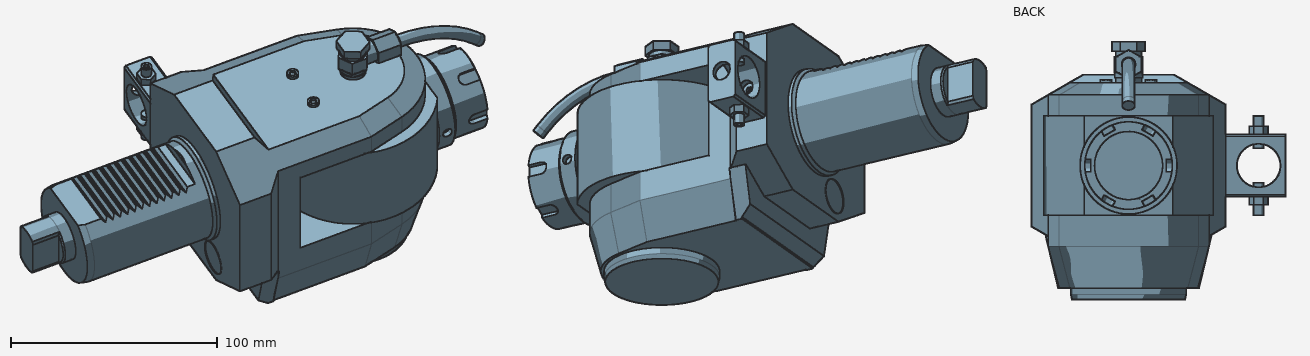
import cadquery as cq
import math


FLANGE_HALF_WIDTH = 47.0
FLANGE_HALF_HEIGHT = 44.0
FLANGE_FLAT_HALF = 22.0
FLANGE_SLOPE = math.radians(30)
FLANGE_DEPTH = 25.0
PLUG_X, PLUG_Z, PLUG_RADIUS, PLUG_RECESS = 18.5, -31.7, 8.6, 0.5

HOUSING_HALF_WIDTH = 39.0
DECK_Z = 40.0
HEAD_Y = 86.2
NOSE_RADIUS = 35.0
NOSE_SIDE_ANGLE = math.radians(15)
LOWER_TAPER_TOP = -39.0
LOWER_TAPER_BOTTOM = -59.3
LOWER_TAPER = 15.0
SKIRT_TAPER = 13.5
SKIRT_REAR = 16.0
SKIRT_CHAMFER = 6.0
SKIRT_TOP = -34.0
WINDOW_HALF_HEIGHT = 24.0
WINDOW_REAR = 37.2
DRUM_RADIUS = 41.0
FACE_Y = HEAD_Y + NOSE_RADIUS
CAP_RADIUS, CAP_RIM_RADIUS = 28.0, 27.4
CAP_BOTTOM = -64.9
CAP_LAND = 3.1
DECK_SCREW_X, DECK_SCREW_Y = 10.85, 58.9
DECK_SCREW_RADIUS, DECK_SCREW_HEIGHT = 2.8, 1.5
DECK_SOCKET_AF, DECK_SOCKET_DEPTH = 3.0, 1.2

RING_RADIUS, RING_END = 23.5, 129.7
NECK_RADIUS, NECK_END = 20.3, 131.6
NUT_RADIUS, NUT_SHOULDER, NUT_END = 21.2, 148.8, 150.4
NUT_FACE_RADIUS = 16.5
NUT_SLOTS = 6
NUT_SLOT_WIDTH = 6.2
NUT_SLOT_START = 138.6
NUT_SLOT_FLOOR = 18.3
RING_HOLE_Y, RING_HOLE_RADIUS, RING_HOLE_DEPTH = 125.6, 2.4, 3.0

COLLAR_RADIUS, COLLAR_LENGTH = 26.5, 1.9
COLLAR_TAPER_END = -3.4
SHANK_RADIUS, SHANK_END = 25.0, -71.5
SHANK_CHAMFER_LENGTH, SHANK_CHAMFER = 3.4, 0.7
FLAT_Z, FLAT_START = 19.7, -8.1
FLAT_EDGE_CHAMFER = 0.7
GROOVES, GROOVE_PITCH, FIRST_GROOVE_Y = 12, 4.0, -13.9
GROOVE_DEPTH, GROOVE_HALF_WIDTH = 1.6, 1.6
STUB_RADIUS, STUB_END, STUB_CHAMFER = 12.2, -78.0, 0.8
TANG_HALF_WIDTH, TANG_END = 6.6, -92.0
TANG_FLAT_HALF_HEIGHT = 9.0
TANG_ROUND_HALF_WIDTH = 6.0

BRACKET_LEFT = -76.0
BRACKET_HALF_HEIGHT = 15.2
BRACKET_REAR, BRACKET_FRONT = 0.8, 16.0
BRACKET_CHAMFER = 1.0
BORE_X, BORE_RADIUS = -63.0, 10.5
ACCESS_Y, ACCESS_RADIUS = 8.4, 4.7
SEAT_RADIUS, SEAT_DEPTH = 3.7, 3.0
SEAT_SOCKET_AF, SEAT_SOCKET_DEPTH = 3.0, 2.0
STUD_Y, STUD_RADIUS = 6.2, 2.5
STUD_INNER, STUD_OUTER = 8.3, 24.1
STUD_NUT_AF, STUD_NUT_HEIGHT = 8.0, 3.9
STUD_SOCKET_AF, STUD_SOCKET_DEPTH = 2.5, 2.0

BOLT_TOP, BOLT_HEAD_HEIGHT, BOLT_HEAD_AF = 60.0, 4.7, 14.0
BOLT_NECK_RADIUS = 6.3
BANJO_COLLAR_RADIUS, BANJO_COLLAR_BOTTOM = 6.8, 42.4
BANJO_BOTTOM, BANJO_TOP, BANJO_AF = 45.0, 52.7, 13.8
HOSE_Z = 49.0
OUTLET_RADIUS = 5.4
HOSE_NUT_START, HOSE_NUT_END, HOSE_NUT_AF = 97.0, 109.3, 12.2
HOSE_RADIUS = 3.1
HOSE_COLLAR_RADIUS, HOSE_COLLAR_LENGTH = 3.4, 1.4
HOSE_BEND = math.radians(45)
HOSE_BEND_RADIUS = 60.0
HOSE_TIP_Y = 157.67


def hexagon(plane, across_flats, length):
    """Hexagonal prism with two corners on the local x axis of the plane."""
    corner_diameter = across_flats / math.cos(math.radians(30))
    return cq.Workplane(plane).polygon(6, corner_diameter).extrude(length)


def y_cylinder(radius, y_from, y_to, x=0.0, z=0.0):
    plane = cq.Plane((x, y_from, z), xDir=(1, 0, 0), normal=(0, 1, 0))
    return cq.Workplane(plane).circle(radius).extrude(y_to - y_from)


def z_cylinder(radius, x, y, z_from, z_to):
    return cq.Workplane("XY", origin=(x, y, z_from)).circle(radius).extrude(z_to - z_from)


def x_cylinder(radius, x_from, x_to, y, z=0.0):
    return cq.Workplane("YZ", origin=(x_from, y, z)).circle(radius).extrude(x_to - x_from)


def flange_plate():
    slope_height = (FLANGE_HALF_WIDTH - FLANGE_FLAT_HALF) * math.tan(FLANGE_SLOPE)
    corner_z = FLANGE_HALF_HEIGHT - slope_height
    octagon = [
        (FLANGE_FLAT_HALF, FLANGE_HALF_HEIGHT), (FLANGE_HALF_WIDTH, corner_z),
        (FLANGE_HALF_WIDTH, -corner_z), (FLANGE_FLAT_HALF, -FLANGE_HALF_HEIGHT),
        (-FLANGE_FLAT_HALF, -FLANGE_HALF_HEIGHT), (-FLANGE_HALF_WIDTH, -corner_z),
        (-FLANGE_HALF_WIDTH, corner_z), (-FLANGE_FLAT_HALF, FLANGE_HALF_HEIGHT),
    ]
    plate = cq.Workplane("XZ").polyline(octagon).close().extrude(-FLANGE_DEPTH)

    side_bevel = FLANGE_HALF_WIDTH - HOUSING_HALF_WIDTH
    plan = [
        (-FLANGE_HALF_WIDTH, 0), (FLANGE_HALF_WIDTH, 0),
        (FLANGE_HALF_WIDTH, FLANGE_DEPTH - side_bevel), (HOUSING_HALF_WIDTH, FLANGE_DEPTH),
        (-HOUSING_HALF_WIDTH, FLANGE_DEPTH), (-FLANGE_HALF_WIDTH, FLANGE_DEPTH - side_bevel),
    ]
    plan_prism = cq.Workplane("XY").polyline(plan).close().extrude(FLANGE_HALF_HEIGHT, both=True)
    top_bevel = FLANGE_HALF_HEIGHT - DECK_Z
    profile = [
        (0, -FLANGE_HALF_HEIGHT), (FLANGE_DEPTH, -FLANGE_HALF_HEIGHT), (FLANGE_DEPTH, DECK_Z),
        (FLANGE_DEPTH - top_bevel, FLANGE_HALF_HEIGHT), (0, FLANGE_HALF_HEIGHT),
    ]
    profile_prism = cq.Workplane("YZ").polyline(profile).close().extrude(FLANGE_HALF_WIDTH, both=True)
    plug = y_cylinder(PLUG_RADIUS, 0, PLUG_RECESS, PLUG_X, PLUG_Z)
    return plate.intersect(plan_prism).intersect(profile_prism).cut(plug)


def housing_outline(z, rear_y):
    """Plan outline: parallel sides, converging flanks and a round nose tangent to them."""
    tangent_x = NOSE_RADIUS * math.cos(NOSE_SIDE_ANGLE)
    tangent_y = HEAD_Y + NOSE_RADIUS * math.sin(NOSE_SIDE_ANGLE)
    side_end_y = tangent_y - (HOUSING_HALF_WIDTH - tangent_x) / math.tan(NOSE_SIDE_ANGLE)
    return (
        cq.Workplane("XY", origin=(0, 0, z))
        .moveTo(-HOUSING_HALF_WIDTH, rear_y)
        .lineTo(HOUSING_HALF_WIDTH, rear_y)
        .lineTo(HOUSING_HALF_WIDTH, side_end_y)
        .lineTo(tangent_x, tangent_y)
        .threePointArc((0, HEAD_Y + NOSE_RADIUS), (-tangent_x, tangent_y))
        .lineTo(-HOUSING_HALF_WIDTH, side_end_y)
        .close()
    )


def skirt():
    """Tapered block under the flange, bevelled along its rear bottom edge."""
    slope = math.tan(math.radians(SKIRT_TAPER))
    top_half = HOUSING_HALF_WIDTH + (SKIRT_TOP - LOWER_TAPER_TOP) * slope
    bottom_half = HOUSING_HALF_WIDTH - (LOWER_TAPER_TOP - LOWER_TAPER_BOTTOM) * slope
    section = [
        (-top_half, SKIRT_TOP), (top_half, SKIRT_TOP),
        (bottom_half, LOWER_TAPER_BOTTOM), (-bottom_half, LOWER_TAPER_BOTTOM),
    ]
    block = (
        cq.Workplane("XZ", origin=(0, SKIRT_REAR, 0))
        .polyline(section).close().extrude(SKIRT_REAR - FLANGE_DEPTH)
    )
    return block.faces("<Y").edges("<Z").chamfer(SKIRT_CHAMFER)


def housing():
    bevel_z = FLANGE_HALF_HEIGHT - (HOUSING_HALF_WIDTH - FLANGE_FLAT_HALF) * math.tan(FLANGE_SLOPE)
    bevel_taper = 90 - math.degrees(FLANGE_SLOPE)
    body = housing_outline(LOWER_TAPER_TOP, SKIRT_REAR).extrude(bevel_z - LOWER_TAPER_TOP)
    upper = housing_outline(bevel_z, 0).extrude(DECK_Z - bevel_z, taper=bevel_taper)
    lower = housing_outline(LOWER_TAPER_TOP, SKIRT_REAR).extrude(
        LOWER_TAPER_BOTTOM - LOWER_TAPER_TOP, taper=LOWER_TAPER
    )
    body = body.union(upper).union(lower).union(skirt())

    window_length = FACE_Y - WINDOW_REAR
    window = cq.Workplane("XY").box(
        2 * FLANGE_HALF_WIDTH, window_length + NOSE_RADIUS, 2 * WINDOW_HALF_HEIGHT,
        centered=(True, False, True),
    ).translate((0, WINDOW_REAR, 0))
    drum = z_cylinder(DRUM_RADIUS, 0, HEAD_Y, -WINDOW_HALF_HEIGHT, WINDOW_HALF_HEIGHT)
    beyond_face = cq.Workplane("XY").box(
        2 * DRUM_RADIUS, DRUM_RADIUS, 2 * DRUM_RADIUS, centered=(True, False, True)
    ).translate((0, FACE_Y, 0))
    return body.cut(window).union(drum.cut(beyond_face))


def bottom_cap():
    profile = [
        (0, LOWER_TAPER_BOTTOM), (CAP_RADIUS, LOWER_TAPER_BOTTOM),
        (CAP_RADIUS, LOWER_TAPER_BOTTOM - CAP_LAND), (CAP_RIM_RADIUS, CAP_BOTTOM), (0, CAP_BOTTOM),
    ]
    cap = cq.Workplane("XZ").polyline(profile).close().revolve(360, (0, 0), (0, 1))
    return cap.translate((0, HEAD_Y, 0))


def deck_screw(x):
    top_z = DECK_Z + DECK_SCREW_HEIGHT
    head = z_cylinder(DECK_SCREW_RADIUS, x, DECK_SCREW_Y, DECK_Z, top_z)
    socket_plane = cq.Plane((x, DECK_SCREW_Y, top_z - DECK_SOCKET_DEPTH))
    return head.cut(hexagon(socket_plane, DECK_SOCKET_AF, DECK_SOCKET_DEPTH))


def turned_about_y(profile):
    """Solid of revolution about Y from (radius, y) points."""
    return cq.Workplane("XY").polyline(profile).close().revolve(360, (0, 0), (0, 1))


def collet_nut():
    nut = turned_about_y([
        (0, FACE_Y), (RING_RADIUS, FACE_Y), (RING_RADIUS, RING_END), (NECK_RADIUS, RING_END),
        (NECK_RADIUS, NECK_END), (NUT_RADIUS, NECK_END), (NUT_RADIUS, NUT_SHOULDER),
        (NUT_FACE_RADIUS, NUT_END), (0, NUT_END),
    ])
    slot_half = NUT_SLOT_WIDTH / 2
    slot_depth = RING_RADIUS - NUT_SLOT_FLOOR
    slot_round = x_cylinder(slot_half, NUT_SLOT_FLOOR, RING_RADIUS, NUT_SLOT_START + slot_half)
    slot_run = cq.Workplane("XY").box(
        slot_depth, NUT_END - NUT_SLOT_START, NUT_SLOT_WIDTH, centered=(False, False, True)
    ).translate((NUT_SLOT_FLOOR, NUT_SLOT_START + slot_half, 0))
    slot = slot_round.union(slot_run)
    for index in range(NUT_SLOTS):
        nut = nut.cut(slot.rotate((0, 0, 0), (0, 1, 0), index * 360 / NUT_SLOTS))
    for side in (-1, 1):
        hole = x_cylinder(RING_HOLE_RADIUS, side * (RING_RADIUS - RING_HOLE_DEPTH),
                          side * RING_RADIUS, RING_HOLE_Y)
        nut = nut.cut(hole)
    return nut


def shank():
    body = turned_about_y([
        (0, 0), (COLLAR_RADIUS, 0), (COLLAR_RADIUS, -COLLAR_LENGTH),
        (SHANK_RADIUS, COLLAR_TAPER_END), (SHANK_RADIUS, SHANK_END + SHANK_CHAMFER_LENGTH),
        (SHANK_RADIUS - SHANK_CHAMFER, SHANK_END), (STUB_RADIUS, SHANK_END),
        (STUB_RADIUS, STUB_END + STUB_CHAMFER), (STUB_RADIUS - STUB_CHAMFER, STUB_END),
        (0, STUB_END),
    ])
    flat = [
        (FLAT_START, FLAT_Z), (FLAT_START, SHANK_RADIUS - FLAT_EDGE_CHAMFER),
        (FLAT_START + FLAT_EDGE_CHAMFER, SHANK_RADIUS), (SHANK_END, SHANK_RADIUS),
        (SHANK_END, FLAT_Z),
    ]
    body = body.cut(cq.Workplane("YZ").polyline(flat).close().extrude(SHANK_RADIUS, both=True))
    for index in range(GROOVES):
        groove_y = FIRST_GROOVE_Y - index * GROOVE_PITCH
        vee = [
            (groove_y - GROOVE_HALF_WIDTH, FLAT_Z), (groove_y, FLAT_Z - GROOVE_DEPTH),
            (groove_y + GROOVE_HALF_WIDTH, FLAT_Z),
        ]
        body = body.cut(cq.Workplane("YZ").polyline(vee).close().extrude(SHANK_RADIUS, both=True))
    return body


def drive_tang():
    """Round end with two flats and bevelled long edges."""
    round_z = math.sqrt(STUB_RADIUS ** 2 - TANG_ROUND_HALF_WIDTH ** 2)
    tang_start = STUB_END + STUB_CHAMFER
    section = (
        cq.Workplane("XZ", origin=(0, tang_start, 0))
        .moveTo(TANG_HALF_WIDTH, -TANG_FLAT_HALF_HEIGHT)
        .lineTo(TANG_HALF_WIDTH, TANG_FLAT_HALF_HEIGHT)
        .lineTo(TANG_ROUND_HALF_WIDTH, round_z)
        .threePointArc((0, STUB_RADIUS), (-TANG_ROUND_HALF_WIDTH, round_z))
        .lineTo(-TANG_HALF_WIDTH, TANG_FLAT_HALF_HEIGHT)
        .lineTo(-TANG_HALF_WIDTH, -TANG_FLAT_HALF_HEIGHT)
        .lineTo(-TANG_ROUND_HALF_WIDTH, -round_z)
        .threePointArc((0, -STUB_RADIUS), (TANG_ROUND_HALF_WIDTH, -round_z))
        .close()
    )
    return section.extrude(tang_start - TANG_END)


def bracket_stud(side):
    """Set screw with lock nut; side is +1 for the upper one and -1 for the lower one."""
    outward = (0, 0, side)
    seat = (BORE_X, STUD_Y, side * BRACKET_HALF_HEIGHT)
    socket_floor = (BORE_X, STUD_Y, side * (STUD_OUTER - STUD_SOCKET_DEPTH))
    stud = z_cylinder(STUD_RADIUS, BORE_X, STUD_Y, side * STUD_INNER, side * STUD_OUTER)
    nut = hexagon(cq.Plane(seat, normal=outward, xDir=(1, 0, 0)), STUD_NUT_AF, STUD_NUT_HEIGHT)
    socket = hexagon(cq.Plane(socket_floor, normal=outward, xDir=(1, 0, 0)),
                     STUD_SOCKET_AF, STUD_SOCKET_DEPTH)
    return stud.union(nut).cut(socket)


def bracket():
    length = -FLANGE_HALF_WIDTH - BRACKET_LEFT
    block = cq.Workplane("XY").box(
        length, BRACKET_FRONT - BRACKET_REAR, 2 * BRACKET_HALF_HEIGHT, centered=(False, False, True)
    ).translate((BRACKET_LEFT, BRACKET_REAR, 0))
    block = block.edges("|X").chamfer(BRACKET_CHAMFER)
    block = block.cut(y_cylinder(BORE_RADIUS, BRACKET_REAR, BRACKET_FRONT, BORE_X))
    block = block.cut(x_cylinder(ACCESS_RADIUS, BRACKET_LEFT, BORE_X, ACCESS_Y))
    seat_end = BORE_X + BORE_RADIUS + SEAT_DEPTH
    block = block.cut(x_cylinder(SEAT_RADIUS, BORE_X, seat_end, ACCESS_Y))
    socket_base = cq.Plane((seat_end, ACCESS_Y, 0), xDir=(0, 1, 0), normal=(1, 0, 0))
    block = block.cut(hexagon(socket_base, SEAT_SOCKET_AF, SEAT_SOCKET_DEPTH))
    return block.union(bracket_stud(1)).union(bracket_stud(-1))


def banjo_bolt():
    head_base = cq.Plane((0, HEAD_Y, BOLT_TOP - BOLT_HEAD_HEIGHT))
    head = hexagon(head_base, BOLT_HEAD_AF, BOLT_HEAD_HEIGHT)
    neck = z_cylinder(BOLT_NECK_RADIUS, 0, HEAD_Y, DECK_Z, BOLT_TOP)
    banjo_base = cq.Plane((0, HEAD_Y, BANJO_BOTTOM), xDir=(0, 1, 0), normal=(0, 0, 1))
    banjo = hexagon(banjo_base, BANJO_AF, BANJO_TOP - BANJO_BOTTOM)
    collar = z_cylinder(BANJO_COLLAR_RADIUS, 0, HEAD_Y, BANJO_COLLAR_BOTTOM, BANJO_BOTTOM)
    return neck.union(head).union(banjo).union(collar)


def coolant_hose():
    outlet = y_cylinder(OUTLET_RADIUS, HEAD_Y, HOSE_NUT_START, z=HOSE_Z)
    nut_base = cq.Plane((0, HOSE_NUT_START, HOSE_Z), xDir=(0, 0, 1), normal=(0, 1, 0))
    nut = hexagon(nut_base, HOSE_NUT_AF, HOSE_NUT_END - HOSE_NUT_START)
    bend_start = HOSE_NUT_END + HOSE_COLLAR_LENGTH
    collar = y_cylinder(HOSE_COLLAR_RADIUS, HOSE_NUT_END, bend_start, z=HOSE_Z)

    def bend_point(angle):
        return (
            bend_start + HOSE_BEND_RADIUS * math.sin(angle),
            HOSE_Z - HOSE_BEND_RADIUS * (1 - math.cos(angle)),
        )

    bend_end_y, bend_end_z = bend_point(HOSE_BEND)
    tip_y = HOSE_TIP_Y - HOSE_RADIUS * math.sin(HOSE_BEND)
    nozzle_length = (tip_y - bend_end_y) / math.cos(HOSE_BEND)
    bend_path = (
        cq.Workplane("YZ").moveTo(bend_start, HOSE_Z)
        .threePointArc(bend_point(HOSE_BEND / 2), (bend_end_y, bend_end_z))
    )
    hose_start = cq.Plane((0, bend_start, HOSE_Z), xDir=(1, 0, 0), normal=(0, 1, 0))
    hose = cq.Workplane(hose_start).circle(HOSE_RADIUS).sweep(bend_path)
    nozzle_plane = cq.Plane(
        (0, bend_end_y, bend_end_z), xDir=(1, 0, 0),
        normal=(0, math.cos(HOSE_BEND), -math.sin(HOSE_BEND)),
    )
    nozzle = cq.Workplane(nozzle_plane).circle(HOSE_RADIUS).extrude(nozzle_length)
    return outlet.union(nut).union(collar).union(hose).union(nozzle)


result = (
    housing()
    .union(flange_plate())
    .union(bottom_cap())
    .union(collet_nut())
    .union(shank())
    .union(drive_tang())
    .union(bracket())
    .union(banjo_bolt())
    .union(coolant_hose())
    .union(deck_screw(-DECK_SCREW_X))
    .union(deck_screw(DECK_SCREW_X))
)